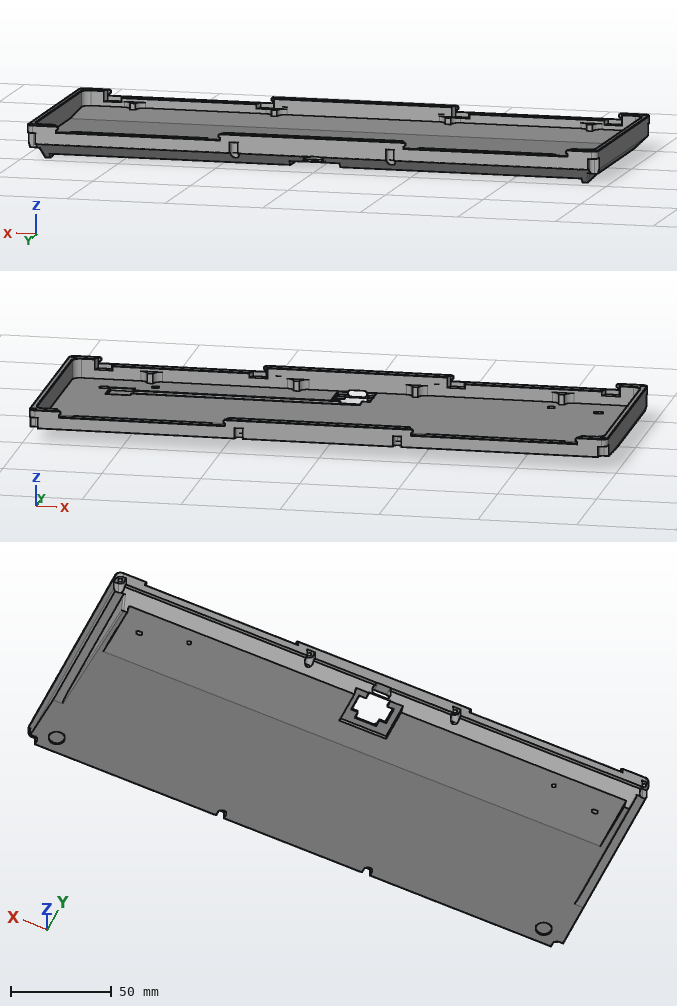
import cadquery as cq
import math

LENGTH = 292.3
DEPTH = 105.8
HEIGHT = 17.82
OUTER_RADIUS = 3.0

SIDE_WALL = 2.75
LONG_WALL = 4.65
INNER_RADIUS = 4.0
RIM_CHAMFER = 0.3
WALL_BOTTOM = -9.5
SHELL_BOTTOM = -12.0
FLOOR_THICKNESS = 2.0
DRAFT_ANGLE = 16.4
TILT_ANGLE = 5.0
FRONT_FLOOR_DEPTH = 29.7

WEDGE_TOP = -6.0
WEDGE_SIDE_INSET = 5.3
REAR_FACE_INSET = 1.6
HEEL_INSET = 9.7
WEDGE_FILLET = 0.9
FOOT_INNER_INSET = 9.9
RECESS_TOP = -15.4
PAD_DIAMETER = 8.0
PAD_DEPTH = 1.0
PAD_X = 133.5
PAD_FROM_FRONT = 8.5

NOTCH_DEPTH = 3.1
NOTCH_INNER_X = 47.0
NOTCH_OUTER_X = 131.0
NOTCH_OVERHANG = 0.9
OVERHANG_TOP = 0.8
OVERHANG_BOTTOM = 2.2
POCKET_X = (50.0, 128.2)
POCKET_DEPTH = 5.5
POCKET_WIDTH = 6.8
POCKET_FLARED_WIDTH = 9.4
POCKET_SKIN = 1.2

SCREW_DIAMETER = 2.0
SCREW_INSET = 2.3
CORNER_SCREW_INSET = 2.5
SCREW_X = (40.0, LENGTH / 2 - CORNER_SCREW_INSET)
HEAD_DIAMETER = 4.3
HEAD_SEAT = -4.0

REAR_RIB_X = (30.0, 104.0)
FRONT_RIB_X = (44.5, 117.0)
RIB_WIDTH = 2.8
RIB_REACH = 4.0
RIB_FLARE = 4.0
RIB_TOP = -5.0

HOLE_XY = (100.0, 38.3)
SLOT_XY = (124.9, 33.0)
STEP_DIAMETER = 3.6
STEP_DEPTH = 1.0
SLOT_TRAVEL = 1.2

OPENING_WIDTH = 19.6
OPENING_FRONT_Y = 31.1
TAB_SIZE = 3.7
TAB_THICKNESS = 1.5
RELIEF_MARGIN = 3.0
PORT_WIDTH = 9.8
PORT_HEIGHT = 3.2
PORT_Z = -10.9
GROOVE_DEPTH = 1.5
GROOVE_CHAMFER = 0.3
GROOVE_FRONT_Y = 23.9
GROOVE_REAR_Y = 30.1
GROOVE_RIGHT_X = 5.9
BOARD_LEFT_X = -121.9
BOARD_RIGHT_X = -109.3
BOARD_FRONT_Y = 20.6
BOARD_REAR_Y = 33.6

FRONT_Y = -DEPTH / 2
REAR_Y = DEPTH / 2
INNER_REAR_Y = REAR_Y - LONG_WALL
FLOOR_Z = SHELL_BOTTOM + FLOOR_THICKNESS
CREASE_Y = FRONT_Y + FRONT_FLOOR_DEPTH
HEEL_Y = REAR_Y - HEEL_INSET
TILT = math.tan(math.radians(TILT_ANGLE))
DRAFT = math.tan(math.radians(DRAFT_ANGLE))
FRONT_BOTTOM = -HEIGHT + (HEEL_Y - FRONT_Y) * TILT


def block(x0, x1, y0, y1, z0, z1):
    """Axis-aligned block between two corners."""
    return cq.Workplane("XY").box(x1 - x0, y1 - y0, z1 - z0, centered=False).translate((x0, y0, z0))


def across(points, half_length):
    """Prism along X, centred on X = 0, from a (y, z) outline."""
    return cq.Workplane("YZ").polyline(points).close().extrude(half_length, both=True)


def cylinder(x, y, diameter, z0, z1):
    """Vertical cylinder between two heights."""
    return cq.Workplane("XY", origin=(x, y, z0)).circle(diameter / 2).extrude(z1 - z0)


def bottom_z(y):
    """Height of the tilted underside."""
    return FRONT_BOTTOM - (y - FRONT_Y) * TILT


def rounded_prism(length, depth, radius, z0, height, taper=0):
    """Prism with rounded corners; a negative height extrudes it downwards."""
    outline = cq.Sketch().rect(length, depth).vertices().fillet(radius)
    normal = (0, 0, math.copysign(1, height))
    base = cq.Workplane(cq.Plane(origin=(0, 0, z0), xDir=(1, 0, 0), normal=normal))
    return base.placeSketch(outline).extrude(abs(height), taper=taper)


def outer_block(top):
    """Solid outline of the walls up to a chamfered top."""
    walls = rounded_prism(LENGTH, DEPTH, OUTER_RADIUS, top, WALL_BOTTOM - top)
    return walls.faces(">Z").chamfer(RIM_CHAMFER)


def inner_block(top):
    """Space inside the walls, with a chamfered mouth at the given height."""
    length = LENGTH - 2 * SIDE_WALL
    depth = DEPTH - 2 * LONG_WALL
    space = rounded_prism(length, depth, INNER_RADIUS, top, FLOOR_Z - top)
    return space.union(rounded_prism(length, depth, INNER_RADIUS, top - RIM_CHAMFER, RIM_CHAMFER, -45))


def make_shell():
    """Walls, still solid inside, with a drafted band below them."""
    band_height = SHELL_BOTTOM - WALL_BOTTOM
    band = rounded_prism(LENGTH, DEPTH, OUTER_RADIUS, WALL_BOTTOM, band_height, DRAFT_ANGLE)
    return outer_block(0).union(band)


def make_wedge():
    """Block under the shell with drafted ends and filleted foot edges."""
    top_half = LENGTH / 2 - WEDGE_SIDE_INSET + (WEDGE_TOP - SHELL_BOTTOM) * DRAFT
    bottom_half = LENGTH / 2 - WEDGE_SIDE_INSET - (HEIGHT + SHELL_BOTTOM) * DRAFT
    ends = [
        (-top_half, WEDGE_TOP),
        (-bottom_half, -HEIGHT),
        (bottom_half, -HEIGHT),
        (top_half, WEDGE_TOP),
    ]
    front_y = FRONT_Y + LONG_WALL
    trapezoid = cq.Workplane("XZ", origin=(0, front_y, 0)).polyline(ends).close()
    wedge = trapezoid.extrude(front_y - REAR_Y).cut(make_underside())
    return wedge.faces(">X or <X").edges("not (|Y or #Y)").fillet(WEDGE_FILLET)


def make_cavity():
    """Tray interior with a sloping front floor and a level rear floor."""
    rise = FRONT_FLOOR_DEPTH * TILT
    ramp = across([(CREASE_Y, FLOOR_Z), (FRONT_Y, FLOOR_Z), (FRONT_Y, FLOOR_Z + rise)], LENGTH)
    return inner_block(0).cut(ramp)


def make_ribs():
    """Vertical ribs on the long walls, with concave flanks running into the wall."""
    half = RIB_WIDTH / 2
    root = half + RIB_FLARE
    bow = RIB_FLARE * (1 - math.sqrt(0.5))
    height = RIB_TOP - SHELL_BOTTOM
    profile = (
        cq.Workplane("XY", origin=(0, 0, SHELL_BOTTOM))
        .moveTo(-root, 0)
        .threePointArc((-half - bow, bow), (-half, RIB_REACH))
        .lineTo(half, RIB_REACH)
        .threePointArc((half + bow, bow), (root, 0))
        .close()
    )
    rib = profile.extrude(height)
    rear_rib = rib.rotate((0, 0, 0), (0, 0, 1), 180)
    ribs = cq.Workplane("XY")
    for sign in (-1, 1):
        for x in FRONT_RIB_X:
            ribs = ribs.add(rib.translate((sign * x, -INNER_REAR_Y, 0)))
        for x in REAR_RIB_X:
            ribs = ribs.add(rear_rib.translate((sign * x, INNER_REAR_Y, 0)))
    return ribs.combine()


def make_notch():
    """Notch through both long walls, with an overhang at each end and a chamfered floor."""
    mid = (OVERHANG_TOP + OVERHANG_BOTTOM) / 2
    bottom = -NOTCH_DEPTH - RIM_CHAMFER
    x0, x1 = NOTCH_INNER_X, NOTCH_OUTER_X
    outline = [
        (x0, 0),
        (x0 + NOTCH_OVERHANG, -OVERHANG_TOP),
        (x0 + NOTCH_OVERHANG, -mid),
        (x0, -OVERHANG_BOTTOM),
        (x0, bottom),
        (x1, bottom),
        (x1, -OVERHANG_BOTTOM),
        (x1 - NOTCH_OVERHANG, -mid),
        (x1 - NOTCH_OVERHANG, -OVERHANG_TOP),
        (x1, 0),
    ]
    notch = cq.Workplane("XZ").polyline(outline).close().extrude(DEPTH, both=True)
    low_walls = outer_block(-NOTCH_DEPTH).cut(inner_block(-NOTCH_DEPTH))
    return notch.cut(low_walls)


def make_pocket(x):
    """Pocket in the rear wall, widening towards the tray."""
    outer_y = REAR_Y - POCKET_SKIN
    outline = [
        (x - POCKET_FLARED_WIDTH / 2, INNER_REAR_Y - RIM_CHAMFER),
        (x - POCKET_WIDTH / 2, outer_y),
        (x + POCKET_WIDTH / 2, outer_y),
        (x + POCKET_FLARED_WIDTH / 2, INNER_REAR_Y - RIM_CHAMFER),
    ]
    return cq.Workplane("XY").polyline(outline).close().extrude(-POCKET_DEPTH)


def make_screw_hole(x):
    """Screw hole with a head seat that is open to the rear face."""
    y = REAR_Y - SCREW_INSET
    radius = HEAD_DIAMETER / 2
    hole = cylinder(x, y, SCREW_DIAMETER, -HEIGHT, 0)
    hole = hole.union(cylinder(x, y, HEAD_DIAMETER, -HEIGHT, HEAD_SEAT))
    return hole.union(block(x - radius, x + radius, y, REAR_Y, -HEIGHT, HEAD_SEAT))


def make_corner_opening():
    """Opens the corner head seat to the side face as well."""
    x = LENGTH / 2 - CORNER_SCREW_INSET
    y = REAR_Y - SCREW_INSET - HEAD_DIAMETER / 2
    return block(x, LENGTH / 2, y, REAR_Y, -HEIGHT, HEAD_SEAT)


def make_rim_cuts():
    """Pockets, screw holes and notches, mirrored to all four quarters of the rim."""
    quarter = cq.Workplane("XY")
    for x in POCKET_X:
        quarter = quarter.add(make_pocket(x))
    for x in SCREW_X:
        quarter = quarter.add(make_screw_hole(x))
    rear_right = quarter.combine().union(make_corner_opening())
    right = rear_right.union(rear_right.mirror("XZ")).union(make_notch())
    return right.union(right.mirror("YZ"))


def make_floor_holes():
    """Stepped round holes and slots through the floor, one of each per side."""
    hole = cylinder(*HOLE_XY, SCREW_DIAMETER, -HEIGHT, FLOOR_Z)
    hole = hole.union(cylinder(*HOLE_XY, STEP_DIAMETER, FLOOR_Z - STEP_DEPTH, FLOOR_Z))
    slot = cq.Workplane("XY", origin=(*SLOT_XY, FLOOR_Z))
    slot_step = slot.slot2D(STEP_DIAMETER + SLOT_TRAVEL, STEP_DIAMETER).extrude(-STEP_DEPTH)
    slot_through = slot.slot2D(SCREW_DIAMETER + SLOT_TRAVEL, SCREW_DIAMETER).extrude(-HEIGHT)
    right = hole.union(slot_step).union(slot_through)
    return right.union(right.mirror("YZ"))


def chamfered_recess(points, top, depth):
    """Recess cut down from `top`, its upper edge chamfered; the outline is that of the upper edge."""
    plane = cq.Workplane(cq.Plane(origin=(0, 0, top), xDir=(1, 0, 0), normal=(0, 0, -1)))
    mirrored = [(x, -y) for x, y in points]
    edge = plane.polyline(mirrored).close().extrude(GROOVE_CHAMFER, taper=45)
    return edge.faces("<Z").wires().toPending().workplane().extrude(depth - GROOVE_CHAMFER)


def make_groove():
    """Cable groove running from a board pocket to a shallow seat around the opening."""
    half = OPENING_WIDTH / 2
    outline = [
        (BOARD_LEFT_X, BOARD_FRONT_Y),
        (BOARD_RIGHT_X, BOARD_FRONT_Y),
        (BOARD_RIGHT_X, GROOVE_FRONT_Y),
        (GROOVE_RIGHT_X, GROOVE_FRONT_Y),
        (GROOVE_RIGHT_X, OPENING_FRONT_Y),
        (half, OPENING_FRONT_Y),
        (half, INNER_REAR_Y),
        (-half, INNER_REAR_Y),
        (-half, OPENING_FRONT_Y),
        (-GROOVE_RIGHT_X, OPENING_FRONT_Y),
        (-GROOVE_RIGHT_X, GROOVE_REAR_Y),
        (BOARD_RIGHT_X, GROOVE_REAR_Y),
        (BOARD_RIGHT_X, BOARD_REAR_Y),
        (BOARD_LEFT_X, BOARD_REAR_Y),
    ]
    return chamfered_recess(outline, FLOOR_Z, GROOVE_DEPTH)


def make_opening():
    """Cross-shaped opening between four corner tabs, with a relief below and a port to the rear."""
    half = OPENING_WIDTH / 2
    near = half - TAB_SIZE
    y0, y1 = OPENING_FRONT_Y, INNER_REAR_Y
    inner_y0, inner_y1 = y0 + TAB_SIZE, y1 - TAB_SIZE
    cross = [
        (-near, y0),
        (near, y0),
        (near, inner_y0),
        (half, inner_y0),
        (half, inner_y1),
        (near, inner_y1),
        (near, y1),
        (-near, y1),
        (-near, inner_y1),
        (-half, inner_y1),
        (-half, inner_y0),
        (-near, inner_y0),
    ]
    tab_top = FLOOR_Z - GROOVE_DEPTH
    tab_bottom = tab_top - TAB_THICKNESS
    opening = chamfered_recess(cross, tab_top, HEIGHT)
    side = half + RELIEF_MARGIN
    relief = block(-side, side, y0 - RELIEF_MARGIN, y1, -HEIGHT, tab_bottom)
    port = cq.Workplane("XZ", origin=(0, y0, PORT_Z)).slot2D(PORT_WIDTH, PORT_HEIGHT).extrude(y0 - REAR_Y)
    return opening.union(relief).union(port)


def make_underside():
    """Space below the tilted underside and the sloping rear face."""
    return across(
        [
            (FRONT_Y, FRONT_BOTTOM),
            (HEEL_Y, -HEIGHT),
            (REAR_Y - REAR_FACE_INSET, WALL_BOTTOM),
            (REAR_Y, WALL_BOTTOM),
            (REAR_Y, -2 * HEIGHT),
            (FRONT_Y, -2 * HEIGHT),
        ],
        LENGTH,
    )


def make_stand_cuts():
    """Recess between the two feet and the round pad seats near the front."""
    half = LENGTH / 2 - FOOT_INNER_INSET
    cuts = block(-half, half, FRONT_Y, REAR_Y, -2 * HEIGHT, RECESS_TOP)
    y = FRONT_Y + PAD_FROM_FRONT
    seat = cylinder(0, 0, PAD_DIAMETER, -PAD_DEPTH, PAD_DEPTH)
    seat = seat.rotate((0, 0, 0), (1, 0, 0), -TILT_ANGLE)
    for x in (-PAD_X, PAD_X):
        cuts = cuts.union(seat.translate((x, y, bottom_z(y))))
    return cuts


tray = make_shell().cut(make_underside()).union(make_wedge())
cavity = make_cavity().cut(make_ribs())
result = (
    tray.cut(cavity)
    .cut(make_stand_cuts())
    .cut(make_rim_cuts())
    .cut(make_floor_holes())
    .cut(make_groove())
    .cut(make_opening())
)